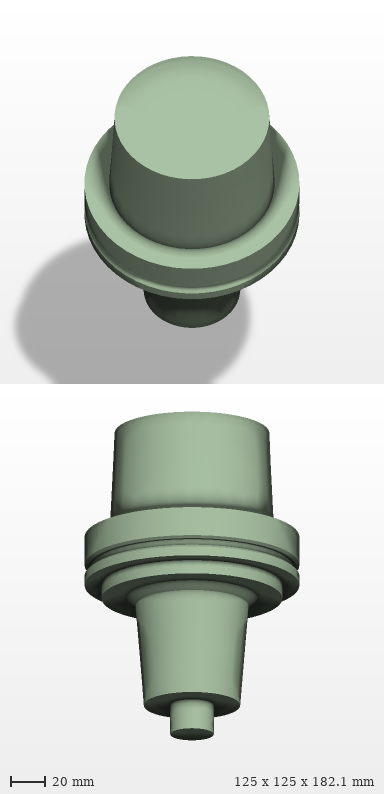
import cadquery as cq

PIN_DIAMETER = 25.3
SHANK_END_DIAMETER = 56.0
SHANK_ROOT_DIAMETER = 66.0
NECK_DIAMETER = 76.3
SHOULDER_DIAMETER = 105.0
FLANGE_DIAMETER = 125.0
GROOVE_DIAMETER = 117.0
HEAD_BASE_DIAMETER = 96.1
HEAD_TOP_DIAMETER = 90.0

TOTAL_HEIGHT = 182.1
PIN_LENGTH = 17.5
SHANK_LENGTH = 60.3
NECK_HEIGHT = 4.4
SHOULDER_HEIGHT = 8.0
FLANGE_HEIGHT = 29.1

LOWER_RIM_HEIGHT = 5.5
LOWER_BEVEL_HEIGHT = 1.6
LOWER_BEVEL_WIDTH = 2.4
GROOVE_HEIGHT = 3.8
UPPER_BEVEL_HEIGHT = 1.3
UPPER_BEVEL_WIDTH = 1.8

shank_bottom = PIN_LENGTH
shank_top = shank_bottom + SHANK_LENGTH
shoulder_bottom = shank_top + NECK_HEIGHT
flange_bottom = shoulder_bottom + SHOULDER_HEIGHT
flange_top = flange_bottom + FLANGE_HEIGHT


def tapered_section(bottom_diameter, top_diameter, bottom, top):
    """Round section about Z; equal diameters give a cylinder."""
    bottom_radius = bottom_diameter / 2
    top_radius = top_diameter / 2
    profile = [(0, bottom), (bottom_radius, bottom), (top_radius, top), (0, top)]
    return cq.Workplane("XZ").polyline(profile).close().revolve(360, (0, 0), (0, 1))


def flange_groove():
    """Ring to cut from the flange, widening towards the rim through the bevels."""
    rim_radius = FLANGE_DIAMETER / 2
    floor_radius = GROOVE_DIAMETER / 2
    lower_bevel_bottom = flange_bottom + LOWER_RIM_HEIGHT
    groove_bottom = lower_bevel_bottom + LOWER_BEVEL_HEIGHT
    groove_top = groove_bottom + GROOVE_HEIGHT
    upper_bevel_top = groove_top + UPPER_BEVEL_HEIGHT
    profile = [
        (floor_radius, groove_bottom),
        (rim_radius - LOWER_BEVEL_WIDTH, groove_bottom),
        (rim_radius, lower_bevel_bottom),
        (rim_radius, upper_bevel_top),
        (rim_radius - UPPER_BEVEL_WIDTH, groove_top),
        (floor_radius, groove_top),
    ]
    return cq.Workplane("XZ").polyline(profile).close().revolve(360, (0, 0), (0, 1))


pin = tapered_section(PIN_DIAMETER, PIN_DIAMETER, 0, shank_bottom)
shank = tapered_section(SHANK_END_DIAMETER, SHANK_ROOT_DIAMETER, shank_bottom, shank_top)
neck = tapered_section(SHANK_ROOT_DIAMETER, NECK_DIAMETER, shank_top, shoulder_bottom)
shoulder = tapered_section(SHOULDER_DIAMETER, SHOULDER_DIAMETER, shoulder_bottom, flange_bottom)
flange = tapered_section(FLANGE_DIAMETER, FLANGE_DIAMETER, flange_bottom, flange_top)
flange = flange.cut(flange_groove())
head = tapered_section(HEAD_BASE_DIAMETER, HEAD_TOP_DIAMETER, flange_top, TOTAL_HEIGHT)

result = pin.union(shank).union(neck).union(shoulder).union(flange).union(head)